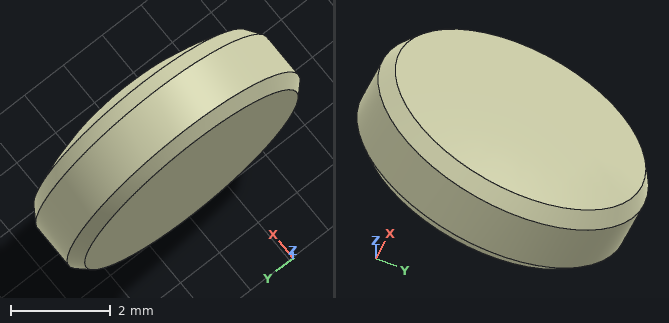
import cadquery as cq

radius = 3.0
thickness = 2.2

flat_chamfer = 0.25

rim_end = 1.26
bevel_length = 0.34
bevel_drop = 0.22

dome_start = rim_end + bevel_length
dome_edge_radius = radius - bevel_drop
dome_height = thickness - dome_start
sphere_radius = (dome_edge_radius**2 + dome_height**2) / (2 * dome_height)
sphere_center = thickness - sphere_radius

dome_mid_radius = dome_edge_radius / 2
dome_mid_x = sphere_center + (sphere_radius**2 - dome_mid_radius**2) ** 0.5

profile = (
    cq.Workplane("XY")
    .moveTo(0, 0)
    .lineTo(0, radius - flat_chamfer)
    .lineTo(flat_chamfer, radius)
    .lineTo(rim_end, radius)
    .lineTo(dome_start, dome_edge_radius)
    .threePointArc((dome_mid_x, dome_mid_radius), (thickness, 0))
    .close()
)
result = profile.revolve(360, (0, 0, 0), (1, 0, 0))